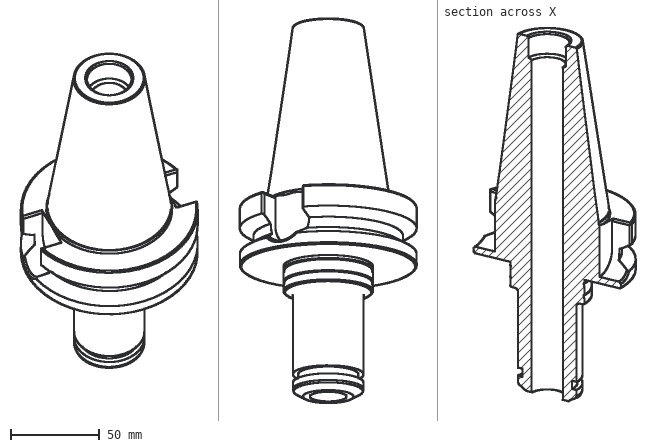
import cadquery as cq
import math

total_height = 215.8
flange_bottom = 76.0
flange_top = 111.0
groove_upper_edge = 98.2
groove_lower_edge = 83.3
collar_bottom = 60.9

flange_radius = 100.0 / 2
groove_radius = 42.3
rim_chamfer = 0.9
groove_flank_height = (flange_radius - groove_radius) * math.tan(math.radians(30))

taper_slope = 7 / 48
taper_top_radius = 20.0
taper_bottom = 112.9
taper_chamfer = 0.6
relief_depth = 0.5
relief_foot_radius = 35.5

collar_radius = 50.5 / 2
collar_chamfer = 0.9
ring_tops = (74.2, 67.1)
ring_height = 2.2
ring_bevel = 0.6
ring_depth = 0.5

shank_radius = 40.0 / 2
shank_fillet = 2.0
snap_groove_radius = 34.0 / 2
snap_groove_top = 13.0
snap_groove_bottom = 8.2
tip_radius = 14.2
tip_bevel_width = 0.5
tip_bevel_height = 1.3
tip_cone_height = (shank_radius - tip_bevel_width - tip_radius) * math.tan(math.radians(30))

through_radius = 20.7 / 2
counterbore_radius = 25.0 / 2
counterbore_depth = 13.0
bore_mouth_chamfer = 1.0
seat_height = (counterbore_radius - through_radius) * math.tan(math.radians(30))

slot_width = 25.7
slot_floor_distance = 35.4
slot_bottom = 80.3
slot_chamfer = 1.19


def taper_radius(height):
    return taper_top_radius + (total_height - height) * taper_slope


def revolve_profile(points):
    return cq.Workplane("XZ").polyline(points).close().revolve(360, (0, 0), (0, 1))


def flange():
    inner_rim_radius = flange_radius - rim_chamfer
    return revolve_profile([
        (0, flange_bottom),
        (inner_rim_radius, flange_bottom),
        (flange_radius, flange_bottom + rim_chamfer),
        (flange_radius, groove_lower_edge),
        (groove_radius, groove_lower_edge + groove_flank_height),
        (groove_radius, groove_upper_edge - groove_flank_height),
        (flange_radius, groove_upper_edge),
        (flange_radius, flange_top - rim_chamfer),
        (inner_rim_radius, flange_top),
        (0, flange_top),
    ])


def drive_slot(side):
    """Round-bottomed slot cutter; side is -1 for the -Y slot and +1 for the +Y slot."""
    slot_radius = slot_width / 2
    arc_height = slot_bottom + slot_radius
    return (
        cq.Workplane("XZ", origin=(0, side * slot_floor_distance, 0))
        .moveTo(-slot_radius, total_height)
        .lineTo(-slot_radius, arc_height)
        .threePointArc((0, slot_bottom), (slot_radius, arc_height))
        .lineTo(slot_radius, total_height)
        .close()
        .extrude(-side * flange_radius)
    )


def slot_rim_edges(body):
    """Slot edges on the outer cylinder of the flange: upright corners and bottom arcs."""
    edges = []
    for edge in body.edges().vals():
        center = edge.Center()
        box = edge.BoundingBox()
        inside_slot = abs(center.x) < slot_width / 2 + 0.02
        outside_floor = abs(center.y) > slot_floor_distance + 2.2
        upright = box.zlen > 2.2 and box.xlen < 0.02 and box.ylen < 0.02
        bottom_arc = box.zlen > 1.0 and box.zmax < groove_lower_edge + 0.02 and box.xlen > 2.2
        if inside_slot and outside_floor and (upright or bottom_arc):
            edges.append(edge)
    return edges


def slot_mouth_chamfer(side):
    """Prism that bevels the two top edges of a slot."""
    inner_half = slot_width / 2
    outer_half = inner_half + slot_chamfer
    return (
        cq.Workplane("XZ", origin=(0, side * slot_floor_distance, 0))
        .polyline([
            (-inner_half, flange_top - slot_chamfer),
            (inner_half, flange_top - slot_chamfer),
            (outer_half, flange_top),
            (-outer_half, flange_top),
        ])
        .close()
        .extrude(-side * flange_radius)
    )


def slotted_flange():
    body = flange()
    for side in (-1, 1):
        body = body.cut(drive_slot(side))
    body = body.newObject(slot_rim_edges(body)).chamfer(slot_chamfer)
    for side in (-1, 1):
        body = body.cut(slot_mouth_chamfer(side))
    return body


def taper():
    return revolve_profile([
        (0, flange_bottom),
        (slot_floor_distance, flange_bottom + rim_chamfer),
        (slot_floor_distance, flange_top),
        (relief_foot_radius, flange_top),
        (taper_radius(taper_bottom) - relief_depth, taper_bottom),
        (taper_radius(taper_bottom), taper_bottom),
        (taper_radius(total_height - taper_chamfer), total_height - taper_chamfer),
        (taper_top_radius - taper_chamfer, total_height),
        (0, total_height),
    ])


def collar():
    points = [(0, flange_bottom + rim_chamfer), (collar_radius, flange_bottom + rim_chamfer)]
    for ring_top in ring_tops:
        points += [
            (collar_radius, ring_top),
            (collar_radius - ring_depth, ring_top - ring_bevel),
            (collar_radius, ring_top - ring_height),
        ]
    points += [
        (collar_radius, collar_bottom + collar_chamfer),
        (collar_radius - collar_chamfer, collar_bottom),
        (0, collar_bottom),
    ]
    return revolve_profile(points)


def shank():
    return revolve_profile([
        (0, 0),
        (tip_radius, 0),
        (shank_radius - tip_bevel_width, tip_cone_height),
        (shank_radius, tip_cone_height + tip_bevel_height),
        (shank_radius, snap_groove_bottom),
        (snap_groove_radius, snap_groove_bottom),
        (snap_groove_radius, snap_groove_top),
        (shank_radius, snap_groove_top),
        (shank_radius, collar_bottom),
        (0, collar_bottom),
    ])


def shank_root_fillet():
    """Ring of material blending the shank into the underside of the collar."""
    center_radius = shank_radius + shank_fillet
    center_height = collar_bottom - shank_fillet
    arc_offset = shank_fillet * math.sqrt(0.5)
    return (
        cq.Workplane("XZ")
        .moveTo(0, center_height)
        .lineTo(shank_radius, center_height)
        .threePointArc(
            (center_radius - arc_offset, center_height + arc_offset),
            (center_radius, collar_bottom),
        )
        .lineTo(0, collar_bottom)
        .close()
        .revolve(360, (0, 0), (0, 1))
    )


def bore():
    counterbore_floor = total_height - counterbore_depth
    return revolve_profile([
        (0, 0),
        (through_radius, 0),
        (through_radius, counterbore_floor - seat_height),
        (counterbore_radius, counterbore_floor),
        (counterbore_radius, total_height - bore_mouth_chamfer),
        (counterbore_radius + bore_mouth_chamfer, total_height),
        (0, total_height),
    ])


body = slotted_flange().union(taper())
for side in (-1, 1):
    body = body.cut(drive_slot(side))
body = body.union(collar()).union(shank()).union(shank_root_fillet())
result = body.cut(bore())